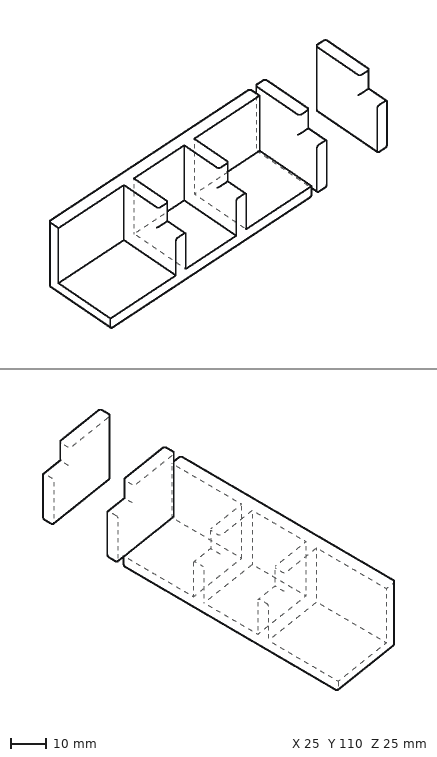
import cadquery as cq

overall_length = 110.0
side = 25.0
wall = 4.0
channel_length = 80.0
rib_pitch = 24.0
notch = 7.0
edge_break = 0.8

step = side - notch
rib_centers = [channel_length / 2 + offset * rib_pitch for offset in (-0.5, 0.5)]
far_plate_start = overall_length - wall
plate_starts = [far_plate_start - rib_pitch, far_plate_start]


def make_notched_panel(start_y):
    """Upright square panel with a corner notch whose long edges are rounded."""
    panel = cq.Workplane("XY").box(side, wall, side, centered=False)
    notch_cut = cq.Workplane("XY").box(notch, wall, notch, centered=False)
    panel = panel.cut(notch_cut.translate((step, 0, step)))
    notch_edges = cq.selectors.BoxSelector(
        (step - notch / 4, -wall, step - notch / 4),
        (side - notch / 4, 2 * wall, side - notch / 4),
    )
    panel = panel.edges(notch_edges).edges("|X or |Z").fillet(edge_break)
    return panel.translate((0, start_y, 0))


def round_outer_edges(body):
    """Round the edges around the back face and the bottom, leaving top and +X edges sharp."""
    back_edges = body.faces("<X").edges("not >Z")
    bottom_edges = body.faces("<Z").edges("|X")
    return body.newObject(back_edges.vals() + bottom_edges.vals()).fillet(edge_break)


def make_channel():
    """L-shaped channel divided into three bays by two notched ribs."""
    profile = [(0, 0), (side, 0), (side, wall), (wall, wall), (wall, side), (0, side)]
    channel = cq.Workplane("XZ").polyline(profile).close().extrude(-channel_length)
    channel = round_outer_edges(channel)
    inner_zone = cq.Workplane("XY").box(side, channel_length, side, centered=False)
    inner_zone = inner_zone.translate((wall / 2, 0, wall / 2))
    for center in rib_centers:
        rib = make_notched_panel(center - wall / 2).intersect(inner_zone)
        channel = channel.union(rib)
    return channel


def make_plate(start_y):
    """Loose divider plate with the same notched outline as the ribs."""
    return round_outer_edges(make_notched_panel(start_y))


channel = make_channel()
plates = [make_plate(start_y) for start_y in plate_starts]

result = cq.Compound.makeCompound([channel.val(), *[plate.val() for plate in plates]])